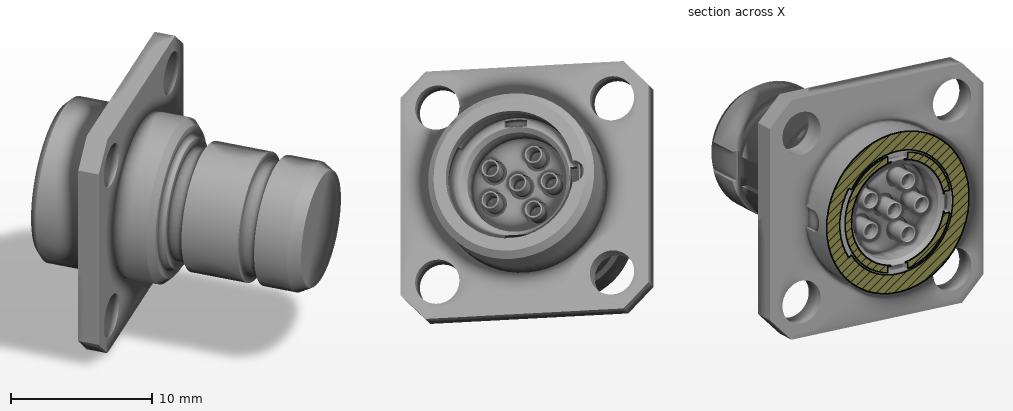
import cadquery as cq
import math

total_length = 19.8

flange_side = 18.0
flange_front = 4.77
flange_thickness = 1.55
flange_corner_cut = 1.82
flange_hole_radius = 1.6
flange_hole_offset = 6.34

shell_radius = 6.02
shell_length = 9.33
shell_chamfer = 0.5
collar_radius = 4.75
collar_root_radius = 4.95
collar_root_length = 0.35
collar_end = 9.8
neck_radius = 4.14
neck_end = 11.0
barrel_radius = 4.73
groove_front = 15.23
groove_back = 16.45
groove_radius = 4.2
groove_front_fillet = 0.18
groove_back_fillet = 0.25
end_chamfer_length = 0.87
end_radius = 4.24

mouth_radius = 4.63
mouth_depth = 0.85
undercut_radius = 4.87
insert_front = 1.98
insert_radius = 4.47
shoulder_setback = 0.05
cavity_mouth_radius = 3.92
cavity_radius = 3.6
cavity_floor_radius = 3.55
cavity_chamfer = 0.35
cavity_floor = 3.96

keyway_width = 1.62
keyway_floor_radius = 3.92
keyway_depth = 0.6

ridge_height = 0.28
ridge_length = 1.03
ridge_gap_angle = 64.0

notch_radius = 0.8
notch_center_radius = 4.57
notch_depth = 1.58

shell_slot_half_width = 0.8
shell_slot_start = 2.97
shell_slot_floor = 5.75
barrel_slot_half_width = 1.1
barrel_slot_front_floor = neck_radius
barrel_slot_back_floor = 4.25

contact_circle_radius = 2.3
contact_angles = [0, 60, 150, 210, 300]
contact_tip = 2.45
contact_radius = 0.63
contact_bore_radius = 0.51
contact_bore_depth = 1.58
contact_edge_chamfer = 0.05
contact_well_radius = 0.9
contact_well_depth = 0.3


def cylinder(start, length, radius, y=0.0, z=0.0):
    """Cylinder along +X beginning at x = start."""
    return cq.Workplane("YZ", origin=(start, y, z)).circle(radius).extrude(length)


def turned_body():
    """Solid outer body: shell, collar, neck and grooved barrel."""
    arc_mid = 1 - math.sqrt(0.5)
    front_mid = arc_mid * groove_front_fillet
    back_mid = arc_mid * groove_back_fillet
    collar_mid = 0.4
    collar_drop = collar_root_radius - collar_radius
    profile = (
        cq.Workplane("XY")
        .moveTo(0, 0)
        .lineTo(0, shell_radius - shell_chamfer)
        .lineTo(shell_chamfer, shell_radius)
        .lineTo(shell_length - shell_chamfer, shell_radius)
        .lineTo(shell_length, shell_radius - shell_chamfer)
        .lineTo(shell_length, collar_root_radius)
        .threePointArc(
            (shell_length + collar_mid * collar_root_length, collar_radius + collar_mid * collar_drop),
            (shell_length + collar_root_length, collar_radius),
        )
        .lineTo(collar_end, collar_radius)
        .lineTo(collar_end, neck_radius)
        .lineTo(neck_end, neck_radius)
        .lineTo(neck_end, barrel_radius)
        .lineTo(groove_front, barrel_radius)
        .lineTo(groove_front, groove_radius + groove_front_fillet)
        .threePointArc(
            (groove_front + front_mid, groove_radius + front_mid),
            (groove_front + groove_front_fillet, groove_radius),
        )
        .lineTo(groove_back - groove_back_fillet, groove_radius)
        .threePointArc(
            (groove_back - back_mid, groove_radius + back_mid),
            (groove_back, groove_radius + groove_back_fillet),
        )
        .lineTo(groove_back, barrel_radius)
        .lineTo(total_length - end_chamfer_length, barrel_radius)
        .lineTo(total_length, end_radius)
        .lineTo(total_length, 0)
        .close()
    )
    return profile.revolve(360, (0, 0, 0), (1, 0, 0))


def flange():
    """Square plate with cut corners and four mounting holes."""
    hole_spacing = 2 * flange_hole_offset
    return (
        cq.Workplane("YZ", origin=(flange_front, 0, 0))
        .rect(flange_side, flange_side)
        .extrude(flange_thickness)
        .edges("|X")
        .chamfer(flange_corner_cut)
        .faces("<X")
        .workplane(origin=(flange_front, 0, 0))
        .rect(hole_spacing, hole_spacing, forConstruction=True)
        .vertices()
        .hole(2 * flange_hole_radius)
    )


def revolved_about_x(points):
    """Solid of revolution about X from (x, radius) outline points."""
    return cq.Workplane("XY").polyline(points).close().revolve(360, (0, 0, 0), (1, 0, 0))


def socket():
    """Stepped bore of the shell and the cavity inside the insert."""
    shoulder = insert_front + shoulder_setback
    return revolved_about_x([
        (0, 0),
        (0, mouth_radius),
        (mouth_depth, mouth_radius),
        (mouth_depth, undercut_radius),
        (shoulder, undercut_radius),
        (shoulder, insert_radius),
        (insert_front, insert_radius),
        (insert_front, cavity_mouth_radius),
        (insert_front + cavity_chamfer, cavity_radius),
        (cavity_floor, cavity_floor_radius),
        (cavity_floor, 0),
    ])


def ridge():
    """Bead of elliptical section on the undercut wall, with a gap centred on +Y."""
    return (
        cq.Workplane("XY")
        .center(insert_front + shoulder_setback, undercut_radius)
        .ellipse(ridge_length, ridge_height)
        .revolve(360 - ridge_gap_angle, (0, -undercut_radius, 0), (1, -undercut_radius, 0))
        .rotate((0, 0, 0), (1, 0, 0), ridge_gap_angle / 2)
    )


def entry_notch():
    """Round notch at -Y, open at the mating face."""
    notch = cylinder(0, notch_depth, notch_radius, y=-notch_center_radius)
    return notch.cut(cylinder(0, notch_depth, undercut_radius)).union(
        notch.intersect(cylinder(0, mouth_depth, undercut_radius))
    )


def keyways():
    """Three slots at +Z, -Y and -Z, bounded outside by the insert radius."""
    slot_height = insert_radius - keyway_floor_radius
    slots = cq.Workplane("XY")
    for angle in (0, 90, 180):
        slot = (
            cq.Workplane("YZ", origin=(insert_front, 0, 0))
            .center(0, keyway_floor_radius + slot_height / 2)
            .rect(keyway_width, slot_height)
            .extrude(keyway_depth)
            .rotate((0, 0, 0), (1, 0, 0), angle)
        )
        slots = slots.union(slot)
    return slots.intersect(cylinder(insert_front, keyway_depth, insert_radius))


def shell_slot():
    """Slot in the shell at +Y with a round front end, running up to the flange."""
    round_center = shell_slot_start + shell_slot_half_width
    return (
        cq.Workplane("XZ", origin=(0, shell_radius, 0))
        .moveTo(flange_front, -shell_slot_half_width)
        .lineTo(round_center, -shell_slot_half_width)
        .threePointArc((shell_slot_start, 0), (round_center, shell_slot_half_width))
        .lineTo(flange_front, shell_slot_half_width)
        .close()
        .extrude(shell_radius - shell_slot_floor)
    )


def barrel_slot(start, end, floor):
    """Flat-bottomed stretch of the slot along the rear barrel at +Y."""
    depth = barrel_radius - floor
    block = cq.Workplane("XY").box(
        end - start, depth, 2 * barrel_slot_half_width, centered=(False, False, True)
    )
    return block.translate((start, floor, 0))


def contact_places():
    """(y, z) of the central contact and of those on the contact circle."""
    places = [(0.0, 0.0)]
    for angle in contact_angles:
        turn = math.radians(angle)
        y = -contact_circle_radius * math.cos(turn)
        z = contact_circle_radius * math.sin(turn)
        places.append((y, z))
    return places


def contact(y, z):
    """Hollow pin standing on the floor of its well."""
    length = cavity_floor + contact_well_depth - contact_tip
    pin = cylinder(contact_tip, length, contact_radius, y, z)
    pin = pin.cut(cylinder(contact_tip, contact_bore_depth, contact_bore_radius, y, z))
    return pin.faces("<X").edges().chamfer(contact_edge_chamfer)


result = turned_body().union(flange())
result = result.cut(socket()).union(ridge())
result = result.cut(entry_notch()).cut(keyways()).cut(shell_slot())
result = result.cut(barrel_slot(neck_end, groove_back, barrel_slot_front_floor))
result = result.cut(barrel_slot(groove_back, total_length, barrel_slot_back_floor))
for y, z in contact_places():
    result = result.cut(cylinder(cavity_floor, contact_well_depth, contact_well_radius, y, z))
    result = result.union(contact(y, z))